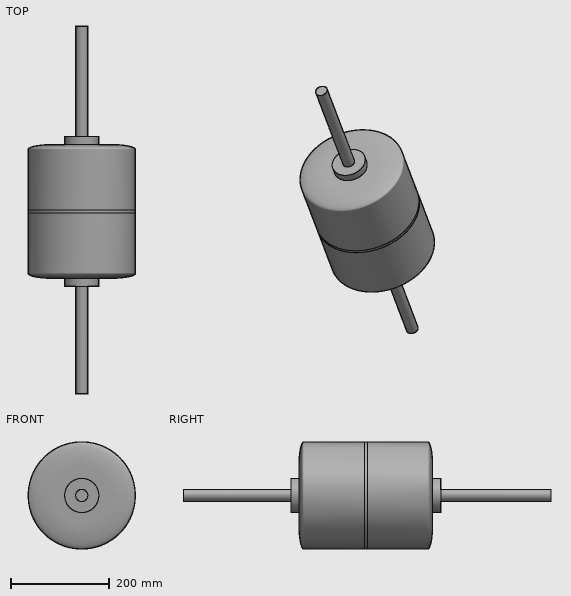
import cadquery as cq

shaft_length = 750.0
shaft_radius = 25.0 / 2
drum_radius = 219.0 / 2
hub_radius = 70.0 / 2
flat_face_radius = 126.0 / 2

wall_length = 123.0
cap_height = 10.5
face_length = wall_length + cap_height
hub_length = 150.0

disc_thickness = 6.0
disc_rear_y = 0.0
disc_front_y = disc_rear_y - disc_thickness


def make_shaft():
    """Plain round shaft, centred on the origin."""
    return cq.Workplane("XZ").circle(shaft_radius).extrude(shaft_length / 2, both=True)


def make_disc():
    """Thin disc with a bore for the shaft, extruded toward -Y."""
    return (
        cq.Workplane("XZ", origin=(0, disc_rear_y, 0))
        .circle(drum_radius)
        .circle(shaft_radius)
        .extrude(disc_thickness)
    )


def make_drum_half():
    """Bored drum half with an elliptical outer edge and a hub, from its inner face at Y = 0 toward +Y."""
    edge_width = drum_radius - flat_face_radius
    return (
        cq.Workplane("XY")
        .moveTo(shaft_radius, 0)
        .lineTo(drum_radius, 0)
        .lineTo(drum_radius, wall_length)
        .ellipseArc(edge_width, cap_height, 0, 90)
        .lineTo(hub_radius, face_length)
        .lineTo(hub_radius, hub_length)
        .lineTo(shaft_radius, hub_length)
        .close()
        .revolve(360, (0, 0, 0), (0, 1, 0))
    )


shaft = make_shaft()
disc = make_disc()

drum_halves = []
for inner_face_y, turn_angle in ((disc_rear_y, 0), (disc_front_y, 180)):
    half = make_drum_half().rotate((0, 0, 0), (0, 0, 1), turn_angle).translate((0, inner_face_y, 0))
    drum_halves.append(half.val())

result = cq.Compound.makeCompound([shaft.val(), disc.val(), *drum_halves])